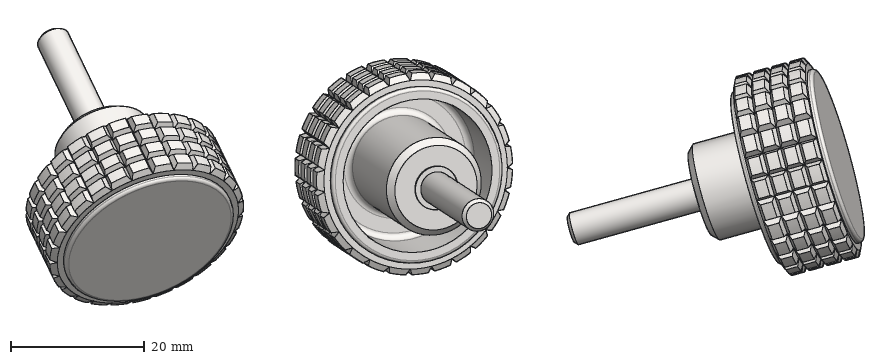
import cadquery as cq

LENGTH = 42.0
PIN_DIAMETER = 5.0
PIN_LENGTH = 20.0
PIN_CHAMFER = 0.5
COLLAR_DIAMETER = 6.68
COLLAR_HEIGHT = 0.3
HUB_DIAMETER = 15.0
HUB_CHAMFER = 1.0
WHEEL_WIDTH = 13.0
WHEEL_DIAMETER = 27.0
WHEEL_EDGE_FILLET = 0.5
POCKET_DIAMETER = 23.5
POCKET_DEPTH = 9.32
POCKET_FILLET = 1.0

TREAD_DIAMETER = 31.0
TREAD_WIDTH = 11.25
TREAD_ROWS = 4
TEETH_PER_ROW = 27
GROOVE_DEPTH = 1.0
GROOVE_HALF_WIDTH = 0.5

OVERSHOOT = 0.4

hub_start = PIN_LENGTH + COLLAR_HEIGHT
wheel_start = LENGTH - WHEEL_WIDTH
pocket_floor = wheel_start + POCKET_DEPTH
tread_start = wheel_start + (WHEEL_WIDTH - TREAD_WIDTH) / 2
tread_radius = TREAD_DIAMETER / 2
root_radius = tread_radius - GROOVE_DEPTH


def cylinder(start, end, diameter):
    """Solid cylinder about the X axis between two X positions."""
    return cq.Workplane("YZ", origin=(start, 0, 0)).circle(diameter / 2).extrude(end - start)


def make_pin():
    """Chamfered pin with a thin collar against the hub face."""
    pin = cylinder(0, hub_start, PIN_DIAMETER).faces("<X").chamfer(PIN_CHAMFER)
    return pin.union(cylinder(PIN_LENGTH, hub_start, COLLAR_DIAMETER))


def make_hub():
    """Hub with a chamfered front edge, running through to the back of the wheel."""
    return cylinder(hub_start, LENGTH, HUB_DIAMETER).faces("<X").chamfer(HUB_CHAMFER)


def make_wheel():
    """Wheel body with rounded rims and a ring pocket around the hub."""
    wheel = cylinder(wheel_start, LENGTH, WHEEL_DIAMETER)
    wheel = wheel.faces("<X or >X").edges().fillet(WHEEL_EDGE_FILLET)
    pocket = cylinder(wheel_start, pocket_floor, POCKET_DIAMETER)
    pocket = pocket.cut(cylinder(wheel_start, pocket_floor, HUB_DIAMETER))
    pocket = pocket.faces(">X").edges().fillet(POCKET_FILLET)
    return wheel.cut(pocket)


def make_tread_rows():
    """Band of bevelled rows separated by V grooves running around the wheel."""
    row_pitch = TREAD_WIDTH / TREAD_ROWS
    profile = [(tread_start, 0), (tread_start, root_radius)]
    for row in range(TREAD_ROWS):
        row_start = tread_start + row * row_pitch
        row_end = row_start + row_pitch
        profile.append((row_start + GROOVE_HALF_WIDTH, tread_radius))
        profile.append((row_end - GROOVE_HALF_WIDTH, tread_radius))
        profile.append((row_end, root_radius))
    profile.append((tread_start + TREAD_WIDTH, 0))
    band = cq.Workplane("XY").polyline(profile).close()
    return band.revolve(360, (0, 0, 0), (1, 0, 0))


def cut_cross_grooves(tread):
    """Cut V grooves along X, evenly spaced around the tread, the first one at -Y."""
    cutter_depth = GROOVE_DEPTH + OVERSHOOT
    cutter_half_width = GROOVE_HALF_WIDTH * cutter_depth / GROOVE_DEPTH
    cutter_radius = root_radius + cutter_depth
    cutter = (
        cq.Workplane("YZ", origin=(tread_start, 0, 0))
        .polyline([
            (-root_radius, 0),
            (-cutter_radius, cutter_half_width),
            (-cutter_radius, -cutter_half_width),
        ])
        .close()
        .extrude(TREAD_WIDTH)
    )
    for tooth in range(TEETH_PER_ROW):
        angle = tooth * 360 / TEETH_PER_ROW
        tread = tread.cut(cutter.rotate((0, 0, 0), (1, 0, 0), angle))
    return tread


def make_tread():
    """Toothed ring, open inside so that it fits around the wheel."""
    tread = cut_cross_grooves(make_tread_rows())
    return tread.cut(cylinder(tread_start, tread_start + TREAD_WIDTH, WHEEL_DIAMETER))


result = make_wheel().union(make_tread()).union(make_hub()).union(make_pin())